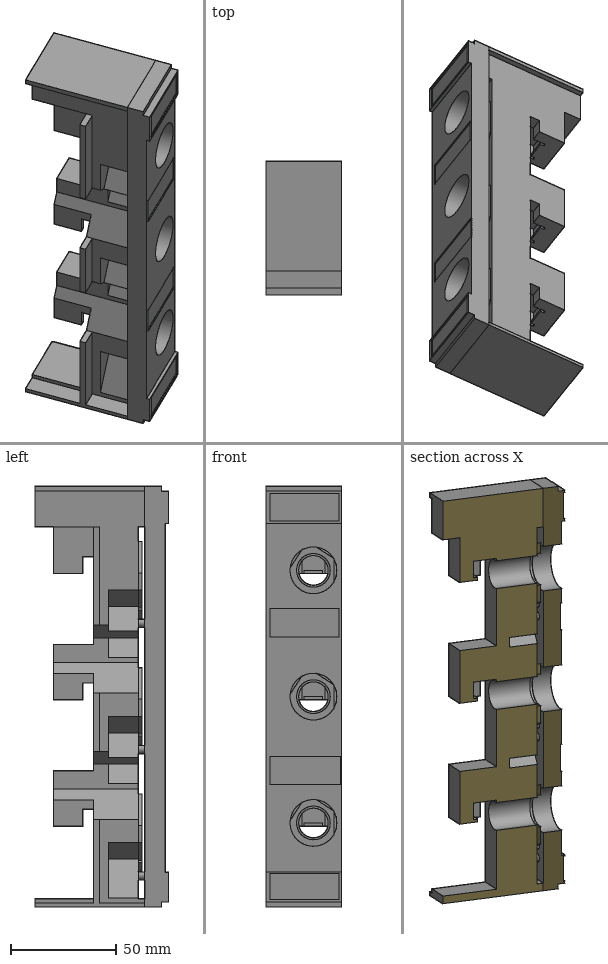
import cadquery as cq


WIDTH = 36.0
HEIGHT = 200.0
HOUSING_DEPTH = 52.2

POLE_PITCH = 60.0
POLE_HEIGHTS = [HEIGHT / 2 + step * POLE_PITCH for step in (-1, 0, 1)]
POLE_X = 22.5

STEEP_RUN = 0.65
FLAT_RUN = 1 / STEEP_RUN

COVER_THICKNESS = 9.8
CAP_THICKNESS = 11.5
END_THICKNESS = 8.0
END_STEP = 2.5
CAP_BOTTOM_TOP = 16.5
CAP_TOP_BOTTOM = 182.2
WINDOW_DIAMETER = 22.2
LABEL_DEPTH = 0.5
LABELS = [
    (2.0, 34.8, 3.5, 16.0, CAP_THICKNESS),
    (2.0, 35.5, 58.2, 71.5, COVER_THICKNESS),
    (2.0, 34.8, 128.5, 141.8, COVER_THICKNESS),
    (2.0, 34.8, 183.5, 196.5, CAP_THICKNESS),
]

CORE_LEFT = 8.5
CORE_RIGHT = 33.5
CORE_FRONT = 3.0
CORE_BACK = 24.5
TOP_PLATE = 2.5
BOTTOM_PLATE = 2.0
BOTTOM_LEDGE = 4.0
TOP_BLOCK_BOTTOM = 180.5
RIB_THICKNESS = 3.0
BORE_DIAMETER = 14.0

RECESS_DEPTH = 9.5
RECESS_TOP = -26.0
RECESS_FLOOR_BOTTOM = -43.8
RECESS_FLOOR_TOP = RECESS_TOP - RECESS_DEPTH * STEEP_RUN
RECESS_BOTTOM = RECESS_FLOOR_BOTTOM - RECESS_DEPTH / STEEP_RUN

POCKET_BACK = 17.2
POCKET_TOP = -9.5
POCKET_DEPTH = 12.0
LOWER_POCKET_HEIGHT = 9.2

HOOK_BACK = 43.5
HOOK_LEFT = 14.5
HOOK_BOTTOM = -1.5
HOOK_NECK_TOP = 24.8
LIP_FRONT = 29.5
LIP_TOP = 6.5
SLOT_WIDTH = 10.8
SLOT_BACK = 36.0
SLOT_TOP = 8.0
TAB_WIDTH = 8.8
TAB_THICKNESS = 2.0

PLATE_THICKNESS = 1.8
PLATE_HOLE_DIAMETER = 16.0
PLATE_LEFT = 10.0
PLATE_RIGHT = 32.5
PLATE_APEX = 13.8
PLATE_LEFT_TOP = -1.2
PLATE_NOTCH = -17.8
PLATE_STEP = 1.0
PLATE_BOTTOM = -23.0

PIN_DIAMETER = 4.0
PIN_DROP = 25.2
PIN_X = 27.2


def box(x_range, y_range, z_range):
    """Box between the given pairs of X, Y and Z limits."""
    sizes = [high - low for low, high in (x_range, y_range, z_range)]
    corner = (x_range[0], y_range[0], z_range[0])
    return cq.Workplane("XY").box(*sizes, centered=False).translate(corner)


def prism(points, y_range):
    """Prism with an X-Z outline, running along Y."""
    front, back = y_range
    return cq.Workplane("XZ", origin=(0, front, 0)).polyline(points).close().extrude(front - back)


def rod(x, z, diameter, y_range):
    """Round rod along Y."""
    front, back = y_range
    return cq.Workplane("XZ", origin=(x, front, z)).circle(diameter / 2).extrude(front - back)


def side_recess(pole):
    """Recess with tilted ends in the left side of the core, below a pole."""
    floor = CORE_LEFT + RECESS_DEPTH
    outline = [
        (CORE_LEFT, pole + RECESS_TOP),
        (floor, pole + RECESS_FLOOR_TOP),
        (floor, pole + RECESS_FLOOR_BOTTOM),
        (CORE_LEFT, pole + RECESS_BOTTOM),
    ]
    return prism(outline, (CORE_FRONT, CORE_BACK))


def front_pocket(pole):
    """V-shaped pocket below a pole, open to the front and left."""
    top = pole + POCKET_TOP
    apex = top - POCKET_DEPTH * STEEP_RUN
    outline = [
        (CORE_LEFT, top),
        (CORE_LEFT + POCKET_DEPTH, apex),
        (CORE_LEFT, apex - POCKET_DEPTH / STEEP_RUN),
    ]
    return prism(outline, (CORE_FRONT, POCKET_BACK))


def lower_pocket(pole):
    """Triangular pocket in the floor of a side recess, open to the front."""
    floor = CORE_LEFT + RECESS_DEPTH
    top = pole + RECESS_FLOOR_TOP
    outline = [
        (floor, top),
        (floor + LOWER_POCKET_HEIGHT * STEEP_RUN, top),
        (floor, top - LOWER_POCKET_HEIGHT),
    ]
    return prism(outline, (CORE_FRONT, POCKET_BACK))


def hook(pole, is_top):
    """Rail hook behind a pole, with a lip, a slot in the lip and a tab in the slot."""
    bottom = pole + HOOK_BOTTOM
    if is_top:
        top = TOP_BLOCK_BOTTOM
        left_side = [(HOOK_LEFT, bottom), (HOOK_LEFT, top)]
    else:
        top = pole + HOOK_NECK_TOP
        neck_left = CORE_LEFT + RECESS_DEPTH
        slope_top = pole + POLE_PITCH + RECESS_FLOOR_BOTTOM
        slope_bottom = slope_top - (neck_left - HOOK_LEFT) / STEEP_RUN
        left_side = [
            (HOOK_LEFT, bottom),
            (HOOK_LEFT, slope_bottom),
            (neck_left, slope_top),
            (neck_left, top),
        ]
    body = prism(left_side + [(CORE_RIGHT, top), (CORE_RIGHT, bottom)], (CORE_BACK, HOOK_BACK))
    notch = box((HOOK_LEFT, CORE_RIGHT), (CORE_BACK, LIP_FRONT), (bottom, pole + LIP_TOP))
    slot_x = (POLE_X - SLOT_WIDTH / 2, POLE_X + SLOT_WIDTH / 2)
    slot = box(slot_x, (CORE_BACK, SLOT_BACK), (bottom, pole + SLOT_TOP))
    tab_x = (POLE_X - TAB_WIDTH / 2, POLE_X + TAB_WIDTH / 2)
    tab = box(tab_x, (SLOT_BACK - TAB_THICKNESS, SLOT_BACK), (bottom, pole))
    return body.cut(notch).cut(slot).union(tab)


def make_housing():
    core_x = (CORE_LEFT, CORE_RIGHT)
    full_y = (0, HOUSING_DEPTH)
    top_pole = POLE_HEIGHTS[-1]

    housing = box((0, WIDTH), full_y, (HEIGHT - TOP_PLATE, HEIGHT))
    housing = housing.union(box(core_x, full_y, (TOP_BLOCK_BOTTOM, HEIGHT - TOP_PLATE)))
    housing = housing.union(box(core_x, (CORE_FRONT, CORE_BACK), (BOTTOM_LEDGE, TOP_BLOCK_BOTTOM)))
    housing = housing.union(box(core_x, full_y, (BOTTOM_PLATE, BOTTOM_LEDGE)))
    housing = housing.union(box((0, WIDTH), full_y, (0, BOTTOM_PLATE)))

    for pole in POLE_HEIGHTS:
        is_top = pole == top_pole
        is_bottom = pole == POLE_HEIGHTS[0]
        rib_top = TOP_BLOCK_BOTTOM if is_top else pole + POLE_PITCH + RECESS_BOTTOM
        rib_bottom = BOTTOM_PLATE if is_bottom else pole + RECESS_TOP
        rib = box((0, CORE_LEFT), (CORE_BACK - RIB_THICKNESS, CORE_BACK), (rib_bottom, rib_top))
        housing = housing.union(rib)
        if not is_bottom:
            housing = housing.cut(side_recess(pole)).cut(lower_pocket(pole))
        housing = housing.cut(front_pocket(pole))
        housing = housing.cut(rod(POLE_X, pole, BORE_DIAMETER, (CORE_FRONT, CORE_BACK)))
        housing = housing.union(hook(pole, is_top))
    return housing


def make_cover():
    full_x = (0, WIDTH)
    cover = box(full_x, (-END_THICKNESS, 0), (0, HEIGHT))
    cover = cover.union(box(full_x, (-COVER_THICKNESS, 0), (CAP_BOTTOM_TOP, CAP_TOP_BOTTOM)))
    for cap_z in ((END_STEP, CAP_BOTTOM_TOP), (CAP_TOP_BOTTOM, HEIGHT - END_STEP)):
        cover = cover.union(box(full_x, (-CAP_THICKNESS, 0), cap_z))
    for left, right, bottom, top, thickness in LABELS:
        cover = cover.cut(box((left, right), (-thickness, LABEL_DEPTH - thickness), (bottom, top)))
    for pole in POLE_HEIGHTS:
        cover = cover.cut(rod(POLE_X, pole, WINDOW_DIAMETER, (-CAP_THICKNESS, 0)))
    return cover


def make_contact_plate(pole):
    """Contact plate with tilted edges, lying on the front of the core."""
    apex_x = PLATE_LEFT + (PLATE_APEX - PLATE_LEFT_TOP) * STEEP_RUN
    notch_x = PLATE_LEFT + (POCKET_TOP - PLATE_NOTCH) * FLAT_RUN
    step_x = notch_x - PLATE_STEP * STEEP_RUN
    step_z = PLATE_NOTCH - PLATE_STEP
    tip_x = step_x + (step_z - PLATE_BOTTOM) * FLAT_RUN
    outline = [
        (PLATE_LEFT, PLATE_LEFT_TOP),
        (apex_x, PLATE_APEX),
        (PLATE_RIGHT, PLATE_APEX - (PLATE_RIGHT - apex_x) * STEEP_RUN),
        (PLATE_RIGHT, PLATE_BOTTOM + (PLATE_RIGHT - tip_x) * FLAT_RUN),
        (tip_x, PLATE_BOTTOM),
        (step_x, step_z),
        (notch_x, PLATE_NOTCH),
        (PLATE_LEFT, POCKET_TOP),
    ]
    plate_y = (CORE_FRONT - PLATE_THICKNESS, CORE_FRONT)
    plate = prism(outline, plate_y).cut(rod(POLE_X, 0, PLATE_HOLE_DIAMETER, plate_y))
    return plate.translate((0, 0, pole))


def make_pin(pole):
    """Pin between the core and the cover, just below a contact plate."""
    return rod(PIN_X, pole - PIN_DROP, PIN_DIAMETER, (0, CORE_FRONT))


housing = make_housing()
cover = make_cover()
contact_plates = [make_contact_plate(pole).val() for pole in POLE_HEIGHTS]
pins = [make_pin(pole).val() for pole in POLE_HEIGHTS]

result = cq.Compound.makeCompound([housing.val(), cover.val(), *contact_plates, *pins])